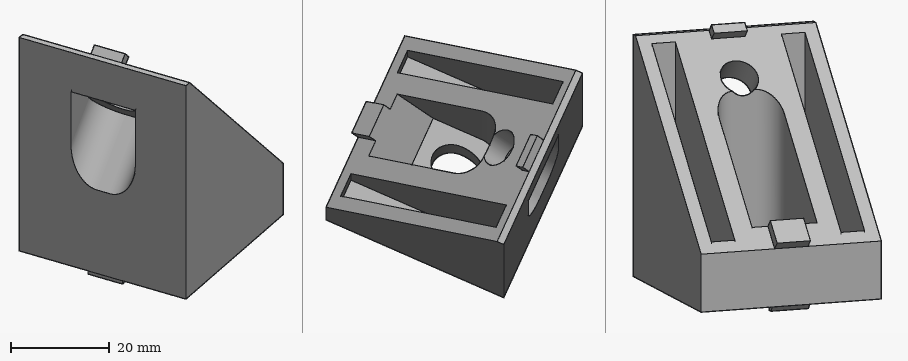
import cadquery as cq
import math

DIAGONAL = math.sqrt(2)
WIDTH = 39.0
DEPTH = 39.45
HEIGHT = 50.0
LIP = 1.5
SLOPE_SUM = LIP + HEIGHT
BACK_HEIGHT = SLOPE_SUM - DEPTH

HOLE_DIAMETER = 8.0

TAB_WIDTH = 7.2
TAB_RISE = 1.45
TOP_TAB_RUN = 1.5
BACK_TAB_RUN = 3.9

HOOK_WIDTH = 8.1
HOOK_ROOT = 1.8
FRONT_HOOK_Y = 1.05
FRONT_HOOK_DROP = 1.5
FRONT_HOOK_TIP = 0.65
BACK_HOOK_DROP = 1.05
BACK_HOOK_TIP = 1.05

SCREW_POCKET_X = 0.15
SCREW_POCKET_WIDTH = 15.0
SCREW_POCKET_LENGTH = 15.0
SCREW_POCKET_RADIUS = 6.05
SCREW_POCKET_TOP = 40.8
SCREW_SEAT = 6.0
SCREW_HOLE_OFFSET = 6.35

BASE_POCKET_WIDTH = 14.1
BASE_POCKET_FRONT = 12.1
BASE_POCKET_RADIUS = 4.6
FLOOR = 7.95
EGG_CENTER_Y = 19.9
EGG_BACK = 4.65
EGG_FRONT = 6.4

SLOT_WIDTH = 5.1
SLOT_X = 14.0
SLOT_FRONT = 3.0
SLOT_BACK = 37.5


def side_prism(points, width):
    """Extrude a (y, z) outline along X, centred on X = 0."""
    return cq.Workplane("YZ").polyline(points).close().extrude(width / 2, both=True)


def slope_tab(y_start, run):
    """Rectangular tab on the slope, running backwards from y_start."""
    z_start = SLOPE_SUM - y_start
    points = [
        (y_start, z_start),
        (y_start + TAB_RISE, z_start + TAB_RISE),
        (y_start + run + TAB_RISE, z_start - run + TAB_RISE),
        (y_start + run, z_start - run),
    ]
    return side_prism(points, TAB_WIDTH)


def base_hook(y_straight, drop, tip):
    """Hook below the base: upright towards the front, tapered towards the back."""
    points = [
        (y_straight, 0),
        (y_straight + HOOK_ROOT, 0),
        (y_straight + tip, -drop),
        (y_straight, -drop),
    ]
    return side_prism(points, HOOK_WIDTH)


def screw_pocket():
    """Inclined pocket with two rounded lower corners and a hole through the seat."""
    seat_sum = SLOPE_SUM - SCREW_SEAT * DIAGONAL
    corner_y = (seat_sum - SCREW_POCKET_TOP) / 2
    corner_z = corner_y + SCREW_POCKET_TOP
    seat = cq.Plane((SCREW_POCKET_X, corner_y, corner_z), xDir=(1, 0, 0), normal=(0, 1, 1))
    half_width = SCREW_POCKET_WIDTH / 2
    half_flat = half_width - SCREW_POCKET_RADIUS
    arc_start = SCREW_POCKET_LENGTH - SCREW_POCKET_RADIUS
    pocket = (
        cq.Workplane(seat)
        .moveTo(-half_width, 0)
        .lineTo(-half_width, arc_start)
        .radiusArc((-half_flat, SCREW_POCKET_LENGTH), SCREW_POCKET_RADIUS)
        .lineTo(half_flat, SCREW_POCKET_LENGTH)
        .radiusArc((half_width, arc_start), SCREW_POCKET_RADIUS)
        .lineTo(half_width, 0)
        .close()
        .extrude(-DEPTH)
    )
    hole = (
        cq.Workplane(seat)
        .center(0, SCREW_HOLE_OFFSET)
        .circle(HOLE_DIAMETER / 2)
        .extrude(2 * SCREW_SEAT)
    )
    return pocket.union(hole)


def base_pocket():
    """Upright pocket whose back wall leans at right angles to the slope."""
    back_y = DEPTH - BACK_TAB_RUN
    back_z = SLOPE_SUM - back_y
    floor_back_y = back_y - (back_z - FLOOR)
    profile = [
        (BASE_POCKET_FRONT, FLOOR),
        (floor_back_y, FLOOR),
        (back_y, back_z),
        (back_y, HEIGHT),
        (BASE_POCKET_FRONT, HEIGHT),
    ]
    return side_prism(profile, BASE_POCKET_WIDTH).faces("<Y").edges("|Z").fillet(BASE_POCKET_RADIUS)


def egg_hole():
    """Two half ellipses of equal width, the longer one towards the front."""
    radius = HOLE_DIAMETER / 2
    middle = cq.Workplane("XY").center(0, EGG_CENTER_Y)
    back = middle.ellipse(radius, EGG_BACK).extrude(FLOOR)
    front = middle.ellipse(radius, EGG_FRONT).extrude(FLOOR)
    front_half = cq.Workplane("XY").box(WIDTH, EGG_CENTER_Y, FLOOR, centered=(True, False, False))
    return back.cut(front_half).union(front.intersect(front_half))


def side_slot(x):
    """Upright slot open to the slope."""
    length = SLOT_BACK - SLOT_FRONT
    return (
        cq.Workplane("XY", origin=(x, SLOT_FRONT, FLOOR))
        .box(SLOT_WIDTH, length, HEIGHT, centered=(True, False, False))
    )


body = side_prism([(0, 0), (DEPTH, 0), (DEPTH, BACK_HEIGHT), (LIP, HEIGHT), (0, HEIGHT)], WIDTH)
body = body.cut(screw_pocket()).cut(base_pocket()).cut(egg_hole())
for slot_x in (-SLOT_X, SLOT_X):
    body = body.cut(side_slot(slot_x))

body = body.union(slope_tab(LIP, TOP_TAB_RUN))
body = body.union(slope_tab(DEPTH - BACK_TAB_RUN, BACK_TAB_RUN))
body = body.union(base_hook(FRONT_HOOK_Y, FRONT_HOOK_DROP, FRONT_HOOK_TIP))
body = body.union(base_hook(SLOT_BACK, BACK_HOOK_DROP, BACK_HOOK_TIP))
result = body